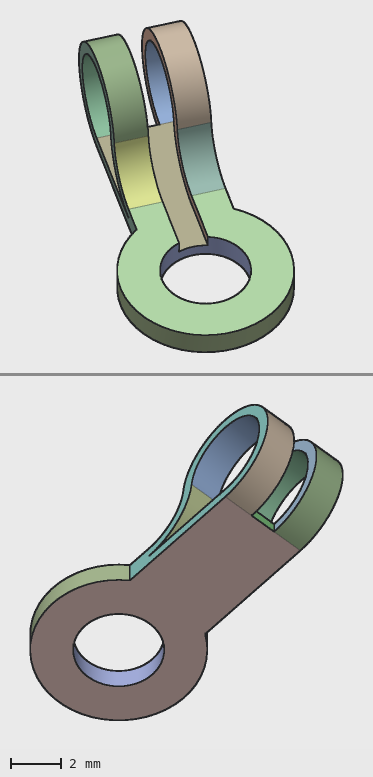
import cadquery as cq
import math

total_length = 14.49
thickness = 0.5
loop_radius = 2.5
bend_radius = 2.0
ring_radius = 3.5
hole_radius = 1.8
strap_width = 4.0
slot_width = 1.19

ring_x = total_length - loop_radius - ring_radius
leaf_top = 2 * thickness
loop_inner = loop_radius - thickness
bend_outer = bend_radius + thickness

bend_z = leaf_top + bend_radius
center_distance = loop_radius + bend_radius
bend_x = math.sqrt(center_distance**2 - (bend_z - loop_radius) ** 2)
joint_angle = math.atan2(bend_z - loop_radius, bend_x)
bend_mid_angle = (math.pi + joint_angle + 1.5 * math.pi) / 2
loop_mid_angle = (joint_angle + 1.5 * math.pi) / 2


def loop_point(radius, angle):
    return (radius * math.cos(angle), loop_radius + radius * math.sin(angle))


def bend_point(radius, angle):
    return (bend_x + radius * math.cos(angle), bend_z + radius * math.sin(angle))


def make_lower_leaf():
    """Flat strip under the loop, reaching the ring axis."""
    return cq.Workplane("XY").box(ring_x, strap_width, thickness, centered=(False, True, False))


def make_bent_strip():
    """Round loop, reverse bend and upper leaf, as one constant-thickness strip."""
    profile = (
        cq.Workplane("XZ")
        .moveTo(0, 0)
        .threePointArc(loop_point(loop_radius, loop_mid_angle), loop_point(loop_radius, joint_angle))
        .threePointArc(bend_point(bend_radius, bend_mid_angle), (bend_x, leaf_top))
        .lineTo(ring_x, leaf_top)
        .lineTo(ring_x, thickness)
        .lineTo(bend_x, thickness)
        .threePointArc(bend_point(bend_outer, bend_mid_angle), loop_point(loop_inner, joint_angle))
        .threePointArc(loop_point(loop_inner, loop_mid_angle), (0, thickness))
        .close()
    )
    return profile.extrude(strap_width / 2, both=True)


def make_slot():
    """Gap that splits the bent strip into two bands, from the loop to the ring hole."""
    slot_length = loop_radius + ring_x
    slot = cq.Workplane("XY").box(slot_length, slot_width, 2 * loop_radius, centered=(False, True, False))
    return slot.translate((-loop_radius, 0, 0))


def make_ring():
    """Round eyelet disc, both leaves thick."""
    return cq.Workplane("XY").center(ring_x, 0).circle(ring_radius).extrude(leaf_top)


def make_hole():
    return cq.Workplane("XY").center(ring_x, 0).circle(hole_radius).extrude(leaf_top)


upper_body = make_bent_strip().union(make_ring()).cut(make_slot())
result = upper_body.union(make_lower_leaf()).cut(make_hole())